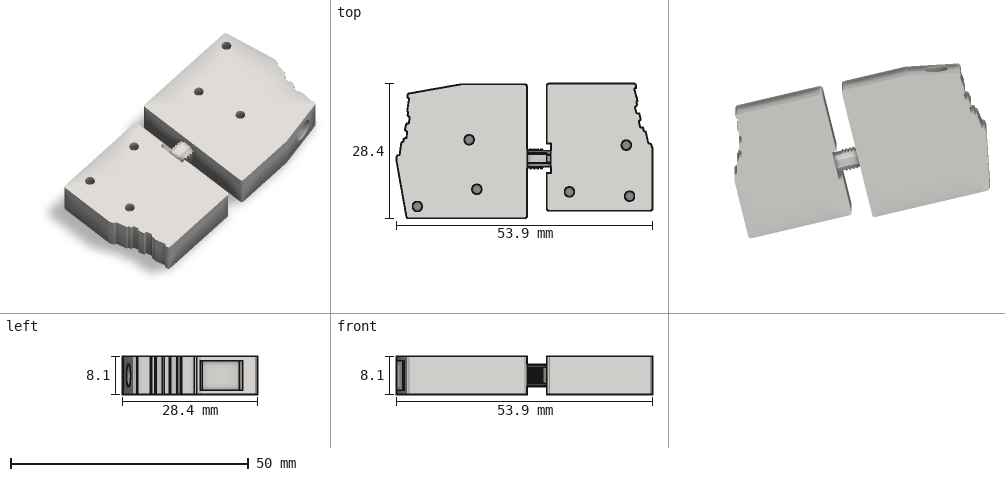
import cadquery as cq

height = 8.1
mid_z = height / 2
corner_radius = 0.55

wide_right_x = 27.5
wide_depth = 28.25
wide_foot_x = 2.15
front_slope_top = 12.2
roof_start = (2.3, 26.25)
roof_end_x = 13.65

narrow_left_x = 31.6
narrow_right_x = 53.9
narrow_back_end_x = 50.4
narrow_front_y = 1.6
narrow_back_y = 28.4
notch_depth = 0.9
notch_front_y = 9.6
notch_back_y = 15.75

pin_diameter = 2.05
pin_depth = 2.7
pin_centers = [
    (15.3, 16.55), (16.95, 6.15), (4.4, 2.55),
    (48.35, 15.4), (36.4, 5.6), (49.05, 4.7),
]

pocket_depth = 1.3
pocket_height = 6.15
pocket_mouth = (3.1, 12.1)
pocket_floor = (3.85, 11.65)

entry_diameter = 4.8
entry_depth = 2.15
entry_y = 27.1

plug_y = 12.55
plug_end_x = narrow_left_x + notch_depth
plug_half_width = 1.7
plug_side_half_height = 1.65
plug_flat_half_width = 0.9
plug_flat_half_height = 2.15

tip_half_width = 0.75
tip_half_height = 2.25
plate_half_height = 2.35
plate_base_half_height = 2.0
plate_front_base_y = 11.55
plate_front_top_y = 11.7
plate_back_base_y = 13.8
plate_back_top_y = 13.5

ridge_count = 5
ridge_pitch = 0.75
ridge_last_x = 30.5
ridge_base_width = 0.65
ridge_base_length = 3.25
ridge_crest_width = 0.1
ridge_crest_length = 2.9
ridge_rise = 0.3


def front_slope_x(y):
    """X of the sloped front end of the wide block at a given Y."""
    return wide_foot_x * (1 - y / front_slope_top)


def extrude_outline(points):
    return cq.Workplane("XY").polyline(points).close().extrude(height)


def round_corners(block, points):
    """Round the upright edges that stand at the given outline points."""
    for x, y in points:
        edge = cq.selectors.NearestToPointSelector((x, y, mid_z))
        block = block.edges("|Z").edges(edge).fillet(corner_radius)
    return block


def make_wide_block():
    stepped_end = [
        (2.3, 25.45), (2.65, 25.2), (2.25, 22.6), (2.5, 22.25), (2.3, 21.7), (2.8, 21.3),
        (2.6, 20.0), (2.2, 20.0), (2.0, 19.7), (1.8, 18.6), (2.25, 18.2), (2.1, 17.0),
        (1.5, 16.75), (1.45, 16.25), (1.0, 15.95), (0.65, 13.3), (0.2, 13.3), (0, 12.8),
    ]
    foot = (wide_foot_x, 0)
    right_corners = [(wide_right_x, 0), (wide_right_x, wide_depth)]
    roof = [(roof_end_x, wide_depth), roof_start]
    outline = [foot] + right_corners + roof + stepped_end + [(0, front_slope_top)]
    return round_corners(extrude_outline(outline), [foot, roof_start] + right_corners)


def make_narrow_block():
    stepped_end = [
        (narrow_back_end_x, 27.45), (50.05, 27.35), (50.75, 24.8), (50.5, 24.35), (50.7, 23.9), (50.2, 23.4),
        (50.5, 22.15), (51.1, 22.1), (51.45, 20.75), (51.0, 20.45), (51.35, 19.15), (51.85, 19.15),
        (52.1, 18.4), (52.45, 18.35), (53.0, 15.9), (53.6, 15.65), (narrow_right_x, 14.65),
    ]
    notch = [
        (narrow_left_x, notch_front_y), (plug_end_x, notch_front_y),
        (plug_end_x, notch_back_y), (narrow_left_x, notch_back_y),
    ]
    back_left = (narrow_left_x, narrow_back_y)
    back_right = (narrow_back_end_x, narrow_back_y)
    front_right = (narrow_right_x, narrow_front_y)
    front_left = (narrow_left_x, narrow_front_y)
    outline = [back_left, back_right] + stepped_end + [front_right, front_left] + notch
    return round_corners(extrude_outline(outline), [back_left, back_right, front_right, front_left])


def make_front_pocket():
    mouth_low, mouth_high = pocket_mouth
    floor_low, floor_high = pocket_floor
    points = [
        (front_slope_x(mouth_low), mouth_low),
        (front_slope_x(floor_low) + pocket_depth, floor_low),
        (front_slope_x(floor_high) + pocket_depth, floor_high),
        (front_slope_x(mouth_high), mouth_high),
    ]
    base = cq.Workplane("XY").workplane(offset=mid_z - pocket_height / 2)
    return base.polyline(points).close().extrude(pocket_height)


def make_roof_entry():
    run = roof_end_x - roof_start[0]
    rise = wide_depth - roof_start[1]
    entry_x = roof_start[0] + (entry_y - roof_start[1]) * run / rise
    outward = cq.Vector(-rise, run, 0).normalized()
    center = cq.Vector(entry_x, entry_y, mid_z)
    bottom = center - outward * entry_depth
    return cq.Solid.makeCylinder(entry_diameter / 2, 2 * entry_depth, bottom, outward)


def extrude_plug_section(upper_half, end_x):
    """Extrude a (Y, Z) section given by its upper half, which is mirrored below the plug axis."""
    lower_half = [(y, -z) for y, z in reversed(upper_half)]
    start = cq.Workplane("YZ", origin=(wide_right_x, plug_y, mid_z))
    return start.polyline(upper_half + lower_half).close().extrude(end_x - wide_right_x)


def make_grip_ridge(x):
    """Tapered ridge on the front side of the plug."""
    base = cq.Workplane("XZ", origin=(x, plug_y - plug_half_width, mid_z))
    crest = base.rect(ridge_base_width, ridge_base_length).workplane(offset=ridge_rise)
    return crest.rect(ridge_crest_width, ridge_crest_length).loft()


def make_plug():
    right_half = [
        (plug_half_width, plug_side_half_height),
        (plug_flat_half_width, plug_flat_half_height),
    ]
    left_half = [(-y, z) for y, z in reversed(right_half)]
    tip = [(tip_half_width, tip_half_height), (-tip_half_width, tip_half_height)]
    plate = [
        (plate_back_base_y - plug_y, plate_base_half_height),
        (plate_back_top_y - plug_y, plate_half_height),
        (plate_front_top_y - plug_y, plate_half_height),
        (plate_front_base_y - plug_y, plate_base_half_height),
    ]
    plug = extrude_plug_section(right_half + left_half, plug_end_x)
    plug = plug.union(extrude_plug_section(tip, plug_end_x))
    plug = plug.union(extrude_plug_section(plate, narrow_left_x))

    for index in range(ridge_count):
        ridge = make_grip_ridge(ridge_last_x - index * ridge_pitch)
        plug = plug.union(ridge).union(ridge.mirror("XZ", (0, plug_y, 0)))
    return plug


wide_block = make_wide_block().cut(make_front_pocket()).cut(cq.Workplane(make_roof_entry()))
result = wide_block.union(make_plug()).union(make_narrow_block())
pins = cq.Workplane("XY", origin=(0, 0, height)).pushPoints(pin_centers)
result = result.cut(pins.circle(pin_diameter / 2).extrude(-pin_depth))